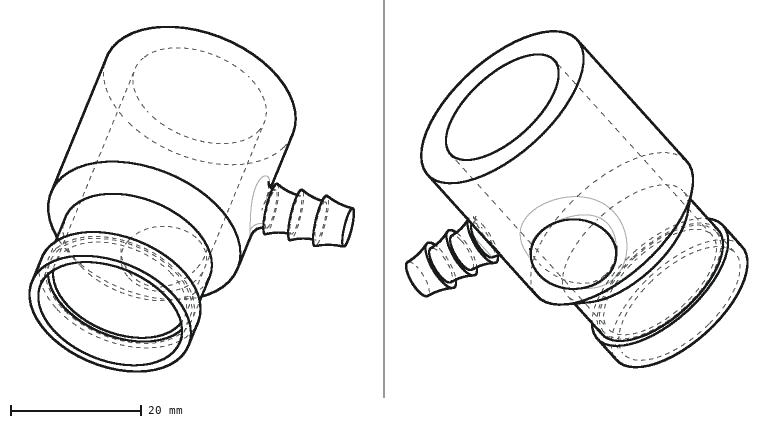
import cadquery as cq
import math

total_length = 45.95
flange_radius = 13.0
flange_length = 5.0
neck_radius = 12.0
neck_length = 9.0
body_radius = 15.5
taper_length = body_radius - neck_radius

bore_radius = 10.75
socket_radius = 11.6
socket_depth = 5.0

port_y = total_length - 18.45
boss_radius = 6.55
boss_end = 17.95
boss_fillet = 2.4

barb_root_radius = 3.05
barb_crest_radius = 4.0
barb_start = 17.3
barb_pitch = 4.0
barb_count = 3
barb_tip = 29.7
barb_fillet = 1.98

joint_margin = 0.45


def make_tube():
    """Outer form of the tube as a solid of revolution about Y."""
    neck_end = flange_length + neck_length
    return (
        cq.Workplane("XY")
        .lineTo(flange_radius, 0)
        .lineTo(flange_radius, flange_length)
        .lineTo(neck_radius, flange_length)
        .lineTo(neck_radius, neck_end)
        .lineTo(body_radius, neck_end + taper_length)
        .lineTo(body_radius, total_length)
        .lineTo(0, total_length)
        .close()
        .revolve(360, (0, 0, 0), (0, 1, 0))
    )


def add_boss(body):
    """Round boss pointing down, blended into the tube."""
    boss = (
        cq.Workplane("XY", origin=(0, port_y, -boss_end))
        .circle(boss_radius)
        .extrude(boss_end)
    )
    joint = cq.selectors.BoxSelector(
        (-body_radius, port_y - boss_radius - joint_margin, -body_radius - joint_margin),
        (body_radius, port_y + boss_radius + joint_margin, -bore_radius),
    )
    return body.union(boss).edges(joint).edges("not %LINE").fillet(boss_fillet)


def add_barb_stem(body):
    """Barb core pointing along +X, blended into the tube."""
    stem = (
        cq.Workplane("YZ", origin=(0, port_y, 0))
        .circle(barb_root_radius)
        .extrude(barb_tip)
    )
    joint = cq.selectors.BoxSelector(
        (bore_radius, port_y - barb_crest_radius, -barb_crest_radius),
        (body_radius + joint_margin, port_y + barb_crest_radius, barb_crest_radius),
    )
    return body.union(stem).edges(joint).edges("not %LINE").fillet(barb_fillet)


def make_barbs():
    """Row of barbs, each a concave arc running out tangent to the root radius."""
    rise = barb_crest_radius - barb_root_radius
    profile = cq.Workplane("XY", origin=(0, port_y, 0)).moveTo(barb_start, 0)
    for index in range(barb_count):
        crest_x = barb_start + index * barb_pitch
        is_last = index == barb_count - 1
        end_x = barb_tip if is_last else crest_x + barb_pitch
        run = end_x - crest_x
        arc_radius = (run**2 + rise**2) / (2 * rise)
        half_angle = math.asin(run / arc_radius) / 2
        middle = (
            end_x - arc_radius * math.sin(half_angle),
            barb_root_radius + arc_radius * (1 - math.cos(half_angle)),
        )
        profile = (
            profile.lineTo(crest_x, barb_crest_radius)
            .threePointArc(middle, (end_x, barb_root_radius))
        )
    return profile.lineTo(barb_tip, 0).close().revolve(360, (0, 0, 0), (1, 0, 0))


def make_bore():
    """Through bore with a wider socket at the flange end."""
    bore = cq.Workplane("XZ").circle(bore_radius).extrude(-total_length)
    socket = cq.Workplane("XZ").circle(socket_radius).extrude(-socket_depth)
    return bore.union(socket)


result = add_barb_stem(add_boss(make_tube())).union(make_barbs()).cut(make_bore())